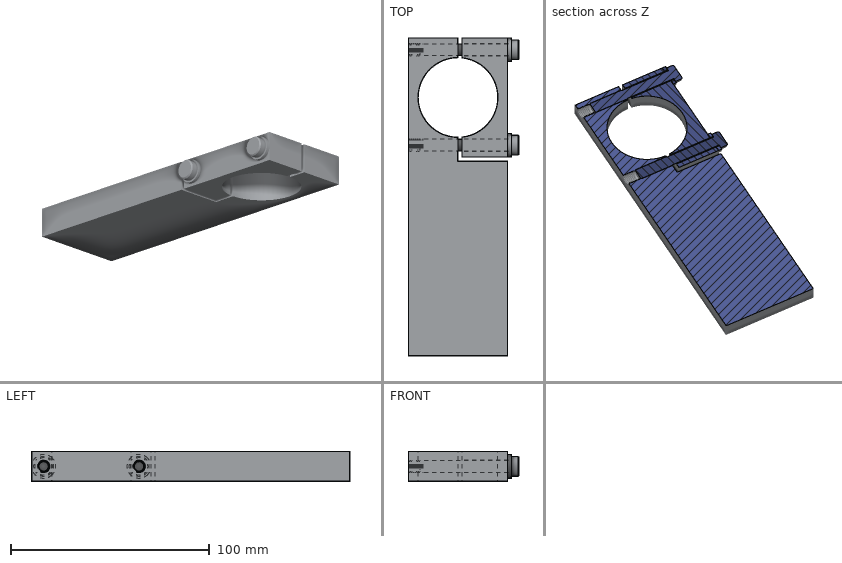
import cadquery as cq
import math

width = 50.0
length = 160.0
thickness = 15.0

clamp_length = 60.0
bore_diameter = 40.0
base_split_x = 25.0
split_gap = 2.0
end_gap = 2.0

screw_length = 45.0
shank_diameter = 6.0
tip_diameter = 4.7
head_diameter = 10.0
head_height = 4.0
head_chamfer = 0.6
washer_diameter = 12.0
washer_hole_diameter = 6.4
washer_thickness = 1.8

thread_pitch = 1.0
thread_flat = thread_pitch / 8
flank_angle = math.radians(30)
tapped_core_diameter = 5.04
tapped_root_diameter = 6.15
groove_overlap = 0.1
groove_turn = 180.0

bore_x = width / 2
bore_y = length - clamp_length / 2
cap_start_x = base_split_x + split_gap
cap_start_y = length - clamp_length
ledge_y = cap_start_y - end_gap
screw_inset = washer_diameter / 2
screw_rows = [length - screw_inset, cap_start_y + screw_inset]
screw_z = thickness / 2
head_seat_x = width + washer_thickness
tip_x = head_seat_x - screw_length
tip_chamfer = (shank_diameter - tip_diameter) / 2


def rod(diameter, start_x, end_x, y):
    """Cylinder along X on the screw axis at the given Y."""
    plane = cq.Workplane("YZ", origin=(start_x, y, screw_z))
    return plane.circle(diameter / 2).extrude(end_x - start_x)


def thread_groove(y):
    """Right-hand thread cutter on a screw axis, from one pitch outside the -X face to the screw tip."""
    inner_radius = tapped_core_diameter / 2 - groove_overlap
    outer_radius = tapped_root_diameter / 2
    root_half = thread_flat / 2
    mouth_half = root_half + (outer_radius - inner_radius) * math.tan(flank_angle)
    path = cq.Wire.makeHelix(thread_pitch, tip_x + thread_pitch - mouth_half, inner_radius)
    profile = [
        (inner_radius, -mouth_half),
        (outer_radius, -root_half),
        (outer_radius, root_half),
        (inner_radius, mouth_half),
    ]
    groove = cq.Workplane("XZ").polyline(profile).close().sweep(path, isFrenet=True)
    groove = groove.rotate((0, 0, 0), (0, 0, 1), groove_turn)
    return groove.rotate((0, 0, 0), (0, 1, 0), 90).translate((-thread_pitch, y, screw_z))


def make_bore():
    """Round opening shared by the base and the cap."""
    return cq.Workplane("XY").center(bore_x, bore_y).circle(bore_diameter / 2).extrude(thickness)


def make_base():
    """Long plate with a stepped end that carries part of the bore and the screw holes."""
    outline = [
        (0, 0),
        (width, 0),
        (width, ledge_y),
        (base_split_x, ledge_y),
        (base_split_x, length),
        (0, length),
    ]
    base = cq.Workplane("XY").polyline(outline).close().extrude(thickness)
    base = base.cut(make_bore())
    for y in screw_rows:
        base = base.cut(rod(tapped_core_diameter, 0, tip_x, y))
        base = base.cut(thread_groove(y))
        base = base.cut(make_screw(y))
    return base


def make_cap():
    """Loose clamp half with clearance holes for the screws."""
    cap = cq.Workplane("XY").box(width - cap_start_x, clamp_length, thickness, centered=False)
    cap = cap.translate((cap_start_x, cap_start_y, 0)).cut(make_bore())
    for y in screw_rows:
        cap = cap.cut(rod(washer_hole_diameter, cap_start_x, width, y))
    return cap


def make_washer(y):
    """Flat washer between the cap and a screw head."""
    washer = rod(washer_diameter, width, head_seat_x, y)
    return washer.cut(rod(washer_hole_diameter, width, head_seat_x, y))


def make_screw(y):
    """Low-head screw with a chamfered tip and a chamfered head edge."""
    shank = rod(shank_diameter, tip_x, head_seat_x, y).faces("<X").chamfer(tip_chamfer)
    head = rod(head_diameter, head_seat_x, head_seat_x + head_height, y)
    return shank.union(head.faces(">X").edges().chamfer(head_chamfer))


base = make_base()
cap = make_cap()
washers = [make_washer(y) for y in screw_rows]
screws = [make_screw(y) for y in screw_rows]

result = cq.Compound.makeCompound([base.val(), cap.val(), *[body.val() for body in washers + screws]])